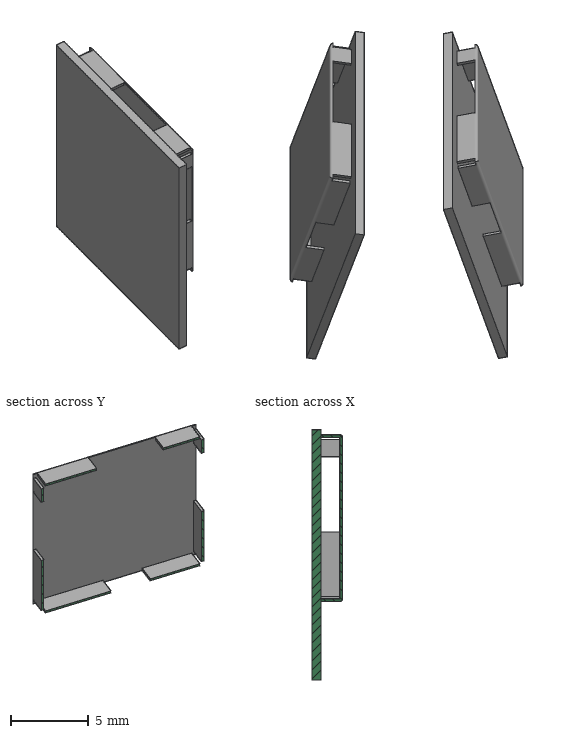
import cadquery as cq

BOARD_WIDTH = 14.0
BOARD_HEIGHT = 16.2
BOARD_THICKNESS = 0.6

TOTAL_DEPTH = 2.0
CAN_WIDTH = 11.7
CAN_HEIGHT = 10.8
CAN_TOP_INSET = 0.32
SHEET = 0.2
BEND_OUTER_RADIUS = SHEET
CORNER_RELIEF = 0.3

TOP_OPENING_X = (-1.88, 2.92)
BOTTOM_OPENING_X = (-0.85, 1.98)
SIDE_OPENING_Z = (1.49, 6.33)

CAN_TOP_Z = BOARD_HEIGHT / 2 - CAN_TOP_INSET
CAN_BOTTOM_Z = CAN_TOP_Z - CAN_HEIGHT
CAN_LEFT_X = -CAN_WIDTH / 2
CAN_RIGHT_X = CAN_WIDTH / 2
WALL_CUT_END_Y = TOTAL_DEPTH - BEND_OUTER_RADIUS
CUT_MARGIN = 0.16


def block(x_range, y_range, z_range):
    """Box between the given limits on each axis."""
    spans = [end - start for start, end in (x_range, y_range, z_range)]
    corner = (x_range[0], y_range[0], z_range[0])
    return cq.Workplane("XY").box(*spans, centered=False).translate(corner)


def make_board():
    return block(
        (-BOARD_WIDTH / 2, BOARD_WIDTH / 2),
        (0, BOARD_THICKNESS),
        (-BOARD_HEIGHT / 2, BOARD_HEIGHT / 2),
    )


def make_can_shell():
    """Lid with four bent walls, open towards the board."""
    outer = block(
        (CAN_LEFT_X, CAN_RIGHT_X),
        (BOARD_THICKNESS, TOTAL_DEPTH),
        (CAN_BOTTOM_Z, CAN_TOP_Z),
    )
    inner = block(
        (CAN_LEFT_X + SHEET, CAN_RIGHT_X - SHEET),
        (BOARD_THICKNESS, TOTAL_DEPTH - SHEET),
        (CAN_BOTTOM_Z + SHEET, CAN_TOP_Z - SHEET),
    )
    outer = outer.faces(">Y").edges().fillet(BEND_OUTER_RADIUS)
    return outer.cut(inner)


def wall_cutter(x_range, z_range):
    """Cutter from the board face to the start of the lid bends."""
    return block(x_range, (BOARD_THICKNESS - CUT_MARGIN, WALL_CUT_END_Y), z_range)


def across_wall(outer_face, inward):
    """Limits of a cut that passes right through one wall; inward is the sign of the direction into the can."""
    outside = outer_face - inward * CUT_MARGIN
    inside = outer_face + inward * (SHEET + CUT_MARGIN)
    return min(outside, inside), max(outside, inside)


def cut_corner_reliefs(can):
    for x_corner in (CAN_LEFT_X, CAN_RIGHT_X):
        for z_corner in (CAN_BOTTOM_Z, CAN_TOP_Z):
            x_range = (x_corner - CORNER_RELIEF, x_corner + CORNER_RELIEF)
            z_range = (z_corner - CORNER_RELIEF, z_corner + CORNER_RELIEF)
            can = can.cut(wall_cutter(x_range, z_range))
    return can


def cut_wall_openings(can):
    can = can.cut(wall_cutter(TOP_OPENING_X, across_wall(CAN_TOP_Z, -1)))
    can = can.cut(wall_cutter(BOTTOM_OPENING_X, across_wall(CAN_BOTTOM_Z, 1)))
    can = can.cut(wall_cutter(across_wall(CAN_LEFT_X, 1), SIDE_OPENING_Z))
    can = can.cut(wall_cutter(across_wall(CAN_RIGHT_X, -1), SIDE_OPENING_Z))
    return can


def make_shield_can():
    return cut_wall_openings(cut_corner_reliefs(make_can_shell()))


board = make_board()
shield_can = make_shield_can()
result = cq.Compound.makeCompound([board.val(), *shield_can.solids().vals()])